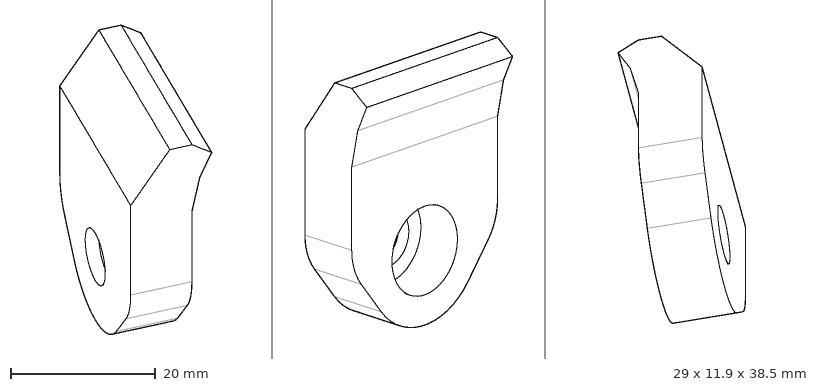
import cadquery as cq
import math

width = 29.0
height = 38.47
thickness = 9.0

front_bevel_z = 30.25
front_bevel_depth = 5.75
hook_tip_y = 11.9
hook_tip_z = 36.4
hook_bend_y = 10.15
hook_bend_z = 32.55
hook_root_z = 26.93

nose_radius = 10.95
flank_angle = math.radians(38.2)
shoulder_radius = 8.85

hole_diameter = 8.2
counterbore_diameter = 13.0
hole_land = 2.0


def make_side_body():
    """Hooked side profile extruded across the full width."""
    profile = [
        (0, 0),
        (0, front_bevel_z),
        (front_bevel_depth, height),
        (thickness, height),
        (hook_tip_y, hook_tip_z),
        (hook_bend_y, hook_bend_z),
        (thickness, hook_root_z),
        (thickness, 0),
    ]
    return cq.Workplane("YZ").polyline(profile).close().extrude(width / 2, both=True)


def make_front_outline():
    """Straight sides, rounded shoulders and tangent flanks meeting the round nose."""
    half_width = width / 2
    tangent_x = nose_radius * math.cos(flank_angle)
    tangent_z = nose_radius * (1 - math.sin(flank_angle))
    corner_z = tangent_z + (half_width - tangent_x) / math.tan(flank_angle)
    outline = (
        cq.Workplane("XZ")
        .moveTo(-half_width, height)
        .lineTo(-half_width, corner_z)
        .lineTo(-tangent_x, tangent_z)
        .threePointArc((0, 0), (tangent_x, tangent_z))
        .lineTo(half_width, corner_z)
        .lineTo(half_width, height)
        .close()
        .extrude(-hook_tip_y)
    )
    shoulders = cq.selectors.BoxSelector(
        (-width, -0.4, corner_z - 0.4), (width, hook_tip_y + 0.4, corner_z + 0.4)
    )
    return outline.edges("|Y").edges(shoulders).fillet(shoulder_radius)


def make_bolt_hole():
    """Through hole with a wider bore entering from the back face."""
    hole = (
        cq.Workplane("XZ", origin=(0, 0, nose_radius))
        .circle(hole_diameter / 2)
        .extrude(-thickness)
    )
    counterbore = (
        cq.Workplane("XZ", origin=(0, hole_land, nose_radius))
        .circle(counterbore_diameter / 2)
        .extrude(-(thickness - hole_land))
    )
    return hole.union(counterbore)


body = make_side_body().intersect(make_front_outline())
result = body.cut(make_bolt_hole())